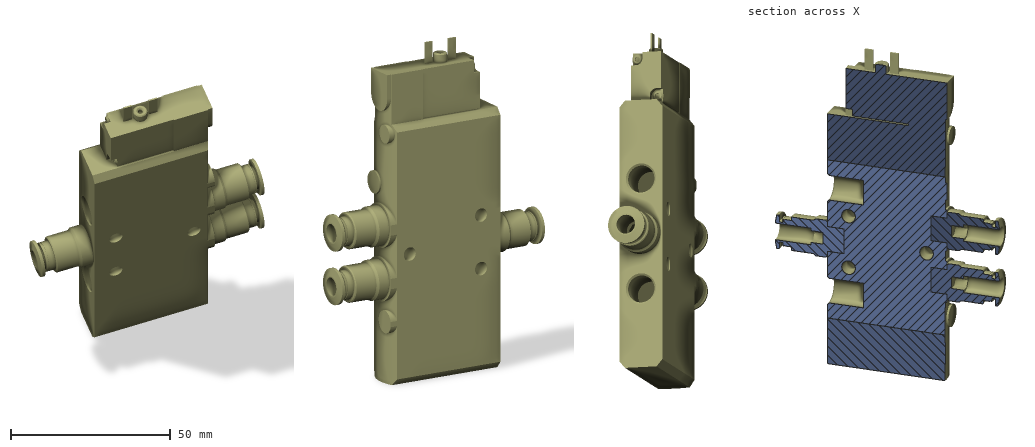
import cadquery as cq
import math


WIDTH = 14.0
HALF_WIDTH = WIDTH / 2
SEAT_Y = 40.2
CROWN_Y = 39.6
CROWN_SAG = 1.8
BOTTOM_CAP_HEIGHT = 15.5
MIDDLE_HEIGHT = 54.0
TOP_CAP_HEIGHT = 15.65
MIDDLE_TOP_Z = BOTTOM_CAP_HEIGHT + MIDDLE_HEIGHT
STACK_HEIGHT = MIDDLE_TOP_Z + TOP_CAP_HEIGHT
MID_Z = BOTTOM_CAP_HEIGHT + MIDDLE_HEIGHT / 2
CAP_CHAMFER_X = 1.85
CAP_CHAMFER_Z = 2.2

PORT_SPACING = 17.5
PORT_DIAMETER = 8.57
PORT_MOUTH_DIAMETER = 9.73
PORT_DEPTH = 12.0
MOUNT_DIAMETER = 4.4
MOUNT_FRONT_Y = 7.1
MOUNT_BACK_Y = 33.2
FITTING_PAD_DIAMETER = 14.4

BUTTON_DIAMETER = 7.4
BUTTON_X = 3.4
BUTTON_OFFSET_Z = 22.0
SCREW_HEAD_DIAMETER = 6.0
SCREW_HEAD_X = -3.2
SCREW_HEAD_Z = 81.8

PILOT_TOP_Z = 101.5
ADAPTER_WIDTH = 10.2
ADAPTER_FRONT_Y = 27.15
COIL_WIDTH = 9.7
COIL_FRONT_Y = 6.2
COIL_GAP = 0.35
COIL_SCREW_X = 3.3
COIL_SCREW_TOP_Z = 99.5
COIL_SCREW_BOTTOM_Z = 87.65
COIL_POCKET_RADIUS = 2.1
COIL_POCKET_DEPTH = 2.15
COIL_SCREW_DIAMETER = 3.6
COIL_SCREW_TIP_DIAMETER = 2.46
COIL_SCREW_HEIGHT = 0.6
COIL_SOCKET_DIAMETER = 1.57
COIL_SOCKET_DEPTH = 0.4

CONTACT_Y = 17.85
BLADE_SPACING = 8.5
BLADE_WIDTH = 2.75
BLADE_THICKNESS = 0.5
BLADE_TOP_Z = 108.5
STUD_DIAMETER = 4.4
STUD_HEIGHT = 2.9
STUD_CHAMFER = 0.3
STUD_HOLE_DIAMETER = 1.57
STUD_MOUTH_DIAMETER = 2.46
STUD_MOUTH_ANGLE = 90
STUD_HOLE_DEPTH = 1.5

SHANK_DIAMETER = PORT_DIAMETER
SHANK_LENGTH = 5.5
COLLAR_RADIUS = 13.0 / 2
COLLAR_START = 0.3
COLLAR_END = 3.8
UNDERCUT_RADIUS = 12.4 / 2
BARREL_RADIUS = 11.8 / 2
BARREL_START = 4.6
BARREL_END = 12.1
BARREL_CHAMFER = 0.3
SLEEVE_RADIUS = 9.5 / 2
SLEEVE_END = 15.0
SLEEVE_GROOVE_START = 14.2
SLEEVE_GROOVE_WIDTH = 0.4
SLEEVE_GROOVE_DEPTH = 0.2
NECK_RADIUS = 7.4 / 2
FLANGE_START = 16.0
FLANGE_RIM_END = 17.0
FITTING_LENGTH = 17.5
NOSE_RADIUS = 3.4
TUBE_BORE_DIAMETER = 6.0
TUBE_BORE_DEPTH = 12.0
HEX_ACROSS_FLATS = 4.0
HEX_DEPTH = 4.0


def box(x_min, x_max, y_min, y_max, z_min, z_max):
    """Box between the given limits."""
    size = (x_max - x_min, y_max - y_min, z_max - z_min)
    return cq.Workplane("XY").box(*size, centered=False).translate((x_min, y_min, z_min))


def y_cylinder(diameter, x, z, y_start, y_end):
    """Cylinder along Y between two Y positions."""
    plane = cq.Workplane("XZ", origin=(x, y_start, z))
    return plane.circle(diameter / 2).extrude(y_start - y_end)


def crowned_block(z_min, z_max):
    """Full-width block with a crowned +Y side."""
    return (
        cq.Workplane("XY", origin=(0, 0, z_min))
        .moveTo(-HALF_WIDTH, CROWN_Y - CROWN_SAG)
        .lineTo(-HALF_WIDTH, 0)
        .lineTo(HALF_WIDTH, 0)
        .lineTo(HALF_WIDTH, CROWN_Y - CROWN_SAG)
        .threePointArc((0, CROWN_Y), (-HALF_WIDTH, CROWN_Y - CROWN_SAG))
        .close()
        .extrude(z_max - z_min)
    )


def pad(diameter, x, z):
    """Raised round pad on the +Y side, trimmed to the width of the blocks."""
    root_y = CROWN_Y - 2 * CROWN_SAG
    trim = box(-HALF_WIDTH, HALF_WIDTH, 0, SEAT_Y, z - diameter, z + diameter)
    return y_cylinder(diameter, x, z, root_y, SEAT_Y).intersect(trim)


def chamfer_end(block, end_z, inward):
    """Bevel the two long edges of a block at its end face."""
    for side in (-1, 1):
        wedge = (
            cq.Workplane("XZ")
            .moveTo(side * HALF_WIDTH, end_z)
            .lineTo(side * (HALF_WIDTH - CAP_CHAMFER_X), end_z)
            .lineTo(side * HALF_WIDTH, end_z + inward * CAP_CHAMFER_Z)
            .close()
            .extrude(-SEAT_Y)
        )
        block = block.cut(wedge)
    return block


def make_fitting(seat_y, z, direction):
    """Fitting on a seat, pointing along +Y (direction 1) or -Y (direction -1)."""
    groove_end = SLEEVE_GROOVE_START + SLEEVE_GROOVE_WIDTH
    profile = [
        (0, -SHANK_LENGTH),
        (SHANK_DIAMETER / 2, -SHANK_LENGTH),
        (SHANK_DIAMETER / 2, 0),
        (UNDERCUT_RADIUS, 0),
        (UNDERCUT_RADIUS, COLLAR_START),
        (COLLAR_RADIUS, COLLAR_START),
        (COLLAR_RADIUS, COLLAR_END),
        (BARREL_RADIUS, BARREL_START),
        (BARREL_RADIUS, BARREL_END - BARREL_CHAMFER),
        (BARREL_RADIUS - BARREL_CHAMFER, BARREL_END),
        (SLEEVE_RADIUS, BARREL_END),
        (SLEEVE_RADIUS, SLEEVE_GROOVE_START),
        (SLEEVE_RADIUS - SLEEVE_GROOVE_DEPTH, SLEEVE_GROOVE_START),
        (SLEEVE_RADIUS - SLEEVE_GROOVE_DEPTH, groove_end),
        (SLEEVE_RADIUS, groove_end),
        (SLEEVE_RADIUS, SLEEVE_END),
        (NECK_RADIUS, SLEEVE_END),
        (NECK_RADIUS, FLANGE_START),
        (BARREL_RADIUS, FLANGE_START),
        (BARREL_RADIUS, FLANGE_RIM_END),
        (NOSE_RADIUS, FITTING_LENGTH),
        (0, FITTING_LENGTH),
    ]
    turned = cq.Workplane("XY").polyline(profile).close().revolve(360, (0, 0), (0, 1))
    bore_floor = FITTING_LENGTH - TUBE_BORE_DEPTH
    bore = y_cylinder(TUBE_BORE_DIAMETER, 0, 0, bore_floor, FITTING_LENGTH)
    hex_corners = HEX_ACROSS_FLATS / math.cos(math.pi / 6)
    hex_socket = (
        cq.Workplane("XZ", origin=(0, bore_floor, 0)).polygon(6, hex_corners).extrude(HEX_DEPTH)
    )
    fitting = turned.cut(bore).cut(hex_socket)
    if direction < 0:
        fitting = fitting.rotate((0, 0, 0), (0, 0, 1), 180)
    return fitting.translate((0, seat_y, z))


FITTING_PLACES = [
    (0, MID_Z, -1),
    (SEAT_Y, MID_Z - PORT_SPACING / 2, 1),
    (SEAT_Y, MID_Z + PORT_SPACING / 2, 1),
]


def make_middle_block():
    block = crowned_block(BOTTOM_CAP_HEIGHT, MIDDLE_TOP_Z)
    for side in (-1, 1):
        block = block.union(pad(FITTING_PAD_DIAMETER, 0, MID_Z + side * PORT_SPACING / 2))
        block = block.union(pad(BUTTON_DIAMETER, side * BUTTON_X, MID_Z + side * BUTTON_OFFSET_Z))

    mouth_depth = (PORT_MOUTH_DIAMETER - PORT_DIAMETER) / 2
    for side in (-1, 1):
        z = MID_Z + side * PORT_SPACING
        mouth = cq.Solid.makeCone(
            PORT_MOUTH_DIAMETER / 2, PORT_DIAMETER / 2, mouth_depth,
            pnt=cq.Vector(0, 0, z), dir=cq.Vector(0, 1, 0),
        )
        block = block.cut(y_cylinder(PORT_DIAMETER, 0, z, 0, PORT_DEPTH)).cut(cq.Workplane(mouth))

    for seat_y, z, direction in FITTING_PLACES:
        socket_end = seat_y - direction * SHANK_LENGTH
        block = block.cut(y_cylinder(SHANK_DIAMETER, 0, z, seat_y, socket_end))

    mount_places = [
        (MOUNT_FRONT_Y, MID_Z - PORT_SPACING / 2),
        (MOUNT_FRONT_Y, MID_Z + PORT_SPACING / 2),
        (MOUNT_BACK_Y, MID_Z),
    ]
    holes = (
        cq.Workplane("YZ", origin=(-HALF_WIDTH, 0, 0))
        .pushPoints(mount_places)
        .circle(MOUNT_DIAMETER / 2)
        .extrude(WIDTH)
    )
    return block.cut(holes)


def make_bottom_cap():
    return chamfer_end(crowned_block(0, BOTTOM_CAP_HEIGHT), 0, 1)


def make_adapter():
    """Crowned riser of the pilot valve with a U-shaped pad on its +Y side."""
    half = ADAPTER_WIDTH / 2
    pad_half = COIL_WIDTH / 2
    column = box(-half, half, ADAPTER_FRONT_Y, SEAT_Y, STACK_HEIGHT, PILOT_TOP_Z)
    riser = crowned_block(STACK_HEIGHT, PILOT_TOP_Z).intersect(column)
    arc_z = (COIL_SCREW_TOP_Z + COIL_SCREW_BOTTOM_Z) / 2
    pad_root_y = CROWN_Y - CROWN_SAG
    u_pad = box(-pad_half, pad_half, pad_root_y, SEAT_Y, arc_z, PILOT_TOP_Z).union(
        y_cylinder(COIL_WIDTH, 0, arc_z, pad_root_y, SEAT_Y)
    )
    return riser.union(u_pad)


def make_coil():
    """Coil box with a screw in two opposite corners of its -Y face."""
    half = COIL_WIDTH / 2
    bottom_z = STACK_HEIGHT + COIL_GAP
    coil = box(-half, half, COIL_FRONT_Y, ADAPTER_FRONT_Y, bottom_z, PILOT_TOP_Z)
    floor_y = COIL_FRONT_Y + COIL_POCKET_DEPTH
    screws = [
        (-COIL_SCREW_X, COIL_SCREW_TOP_Z, -half, PILOT_TOP_Z),
        (COIL_SCREW_X, COIL_SCREW_BOTTOM_Z, half, bottom_z),
    ]
    for x, z, edge_x, edge_z in screws:
        toward_x = math.copysign(COIL_POCKET_RADIUS, edge_x)
        toward_z = math.copysign(COIL_POCKET_RADIUS, edge_z - z)
        spans = [
            ((x, edge_x), (z - toward_z, edge_z)),
            ((x - toward_x, edge_x), (z, edge_z)),
        ]
        coil = coil.cut(y_cylinder(2 * COIL_POCKET_RADIUS, x, z, COIL_FRONT_Y, floor_y))
        for x_span, z_span in spans:
            coil = coil.cut(
                box(min(x_span), max(x_span), COIL_FRONT_Y, floor_y, min(z_span), max(z_span))
            )
        head = cq.Solid.makeCone(
            COIL_SCREW_DIAMETER / 2, COIL_SCREW_TIP_DIAMETER / 2, COIL_SCREW_HEIGHT,
            pnt=cq.Vector(x, floor_y, z), dir=cq.Vector(0, -1, 0),
        )
        tip_y = floor_y - COIL_SCREW_HEIGHT
        socket = y_cylinder(COIL_SOCKET_DIAMETER, x, z, tip_y, tip_y + COIL_SOCKET_DEPTH)
        coil = coil.union(cq.Workplane(head)).cut(socket)
    return coil


def make_contacts():
    """Two contact blades with a threaded stud between them."""
    stud = (
        cq.Workplane("XY", origin=(0, CONTACT_Y, PILOT_TOP_Z))
        .circle(STUD_DIAMETER / 2)
        .extrude(STUD_HEIGHT)
        .faces(">Z").chamfer(STUD_CHAMFER)
        .faces(">Z").workplane().cskHole(
            STUD_HOLE_DIAMETER, STUD_MOUTH_DIAMETER, STUD_MOUTH_ANGLE, STUD_HOLE_DEPTH
        )
    )
    blades = (
        cq.Workplane("XY", origin=(0, CONTACT_Y, PILOT_TOP_Z))
        .rarray(1, BLADE_SPACING, 1, 2)
        .rect(BLADE_THICKNESS, BLADE_WIDTH)
        .extrude(BLADE_TOP_Z - PILOT_TOP_Z)
    )
    return stud, blades


def make_top_cap():
    cap = chamfer_end(crowned_block(MIDDLE_TOP_Z, STACK_HEIGHT), STACK_HEIGHT, -1)
    cap = cap.union(pad(SCREW_HEAD_DIAMETER, SCREW_HEAD_X, SCREW_HEAD_Z))
    pilot = make_adapter().union(make_coil())
    for contact in make_contacts():
        pilot = pilot.union(contact)
    return cap.union(pilot)


middle_block = make_middle_block()
bottom_cap = make_bottom_cap()
top_cap = make_top_cap()
fittings = [make_fitting(*place) for place in FITTING_PLACES]

result = cq.Compound.makeCompound([
    middle_block.val(),
    bottom_cap.val(),
    top_cap.val(),
    *[fitting.val() for fitting in fittings],
])